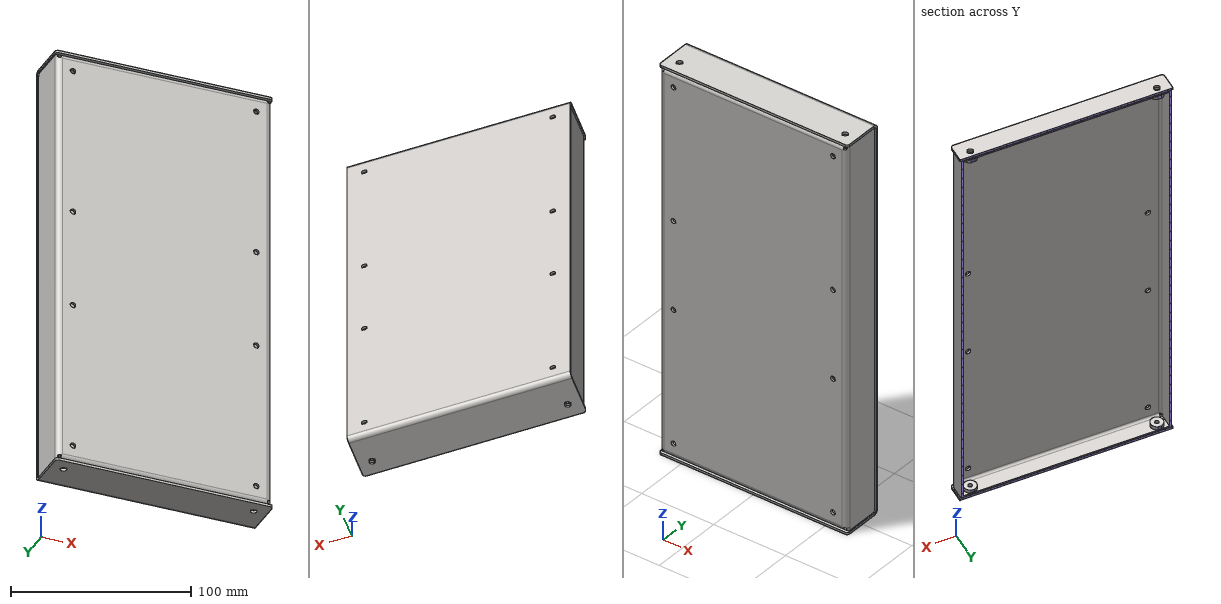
import cadquery as cq

WIDTH = 131.5
DEPTH = 27.3
HEIGHT = 263.0

SHEET = 1.5
INNER_BEND_RADIUS = 1.53
BEND_RADIUS = INNER_BEND_RADIUS + SHEET
FLANGE_CORNER_RADIUS = 1.8
SIDE_GAP = 0.8
RELIEF_DIAMETER = 1.8
RELIEF_INSET = 1.5

MOUNT_DIAMETER = 3.2
MOUNT_X = 55.5
MOUNT_Z_OUTER = 120.2
MOUNT_Z_INNER = 30.0

SCREW_HOLE_DIAMETER = 3.7
SCREW_X = 57.5
SCREW_FROM_FRONT = 8.5
NUT_DIAMETER = 8.0
NUT_BORE = 2.4
NUT_LENGTH = 2.4

FRONT_Y = -DEPTH / 2
BACK_Y = DEPTH / 2
COVER_INNER_Y = BACK_Y - SHEET
END_WALL_Y = COVER_INNER_Y - INNER_BEND_RADIUS
TRAY_WIDTH = WIDTH - 2 * SIDE_GAP
INNER_WIDTH = TRAY_WIDTH - 2 * SHEET
TRAY_HEIGHT = HEIGHT - 2 * SHEET
SCREW_Y = FRONT_Y + SCREW_FROM_FRONT
NUT_SEAT_Z = TRAY_HEIGHT / 2 - SHEET


def block(width, y_start, y_end, height):
    """Box centred on X and Z that spans y_start to y_end."""
    return cq.Workplane("XY").box(width, y_end - y_start, height).translate((0, (y_start + y_end) / 2, 0))


def mounting_holes():
    """Cutters along Y for the eight mounting holes."""
    points = [
        (x, z)
        for x in (-MOUNT_X, MOUNT_X)
        for z in (-MOUNT_Z_OUTER, -MOUNT_Z_INNER, MOUNT_Z_INNER, MOUNT_Z_OUTER)
    ]
    return cq.Workplane("XZ").pushPoints(points).circle(MOUNT_DIAMETER / 2).extrude(DEPTH, both=True)


def screw_holes():
    """Cutters along Z, each passing through both ends of the enclosure."""
    points = [(x, SCREW_Y) for x in (-SCREW_X, SCREW_X)]
    return cq.Workplane("XY").pushPoints(points).circle(SCREW_HOLE_DIAMETER / 2).extrude(HEIGHT, both=True)


def corner_reliefs():
    """Cutters along Y for the round bend reliefs where two bends of the tray meet."""
    spacing_x = TRAY_WIDTH - 2 * RELIEF_INSET
    spacing_z = TRAY_HEIGHT - 2 * RELIEF_INSET
    sketch = cq.Workplane("XZ", origin=(0, FRONT_Y, 0)).rect(spacing_x, spacing_z, forConstruction=True)
    return sketch.vertices().circle(RELIEF_DIAMETER / 2).extrude(-BEND_RADIUS)


def make_tray():
    """Front panel with four bent walls, open towards the cover plate."""
    outer = block(TRAY_WIDTH, FRONT_Y, COVER_INNER_Y, TRAY_HEIGHT)
    outer = outer.faces("<Y").edges().fillet(BEND_RADIUS)
    outer = outer.faces(">Y").edges("|X").fillet(INNER_BEND_RADIUS)
    cavity = block(INNER_WIDTH, FRONT_Y + SHEET, COVER_INNER_Y, TRAY_HEIGHT - 2 * SHEET)
    cavity = cavity.faces("<Y").edges().fillet(INNER_BEND_RADIUS)
    end_wall_trim = block(INNER_WIDTH, END_WALL_Y, COVER_INNER_Y, TRAY_HEIGHT)
    shell = outer.cut(cavity).cut(end_wall_trim)
    return shell.cut(corner_reliefs()).cut(mounting_holes()).cut(screw_holes())


def make_cover():
    """Back plate with a flange bent forward over each end of the tray."""
    outer = block(WIDTH, FRONT_Y, BACK_Y, HEIGHT)
    outer = outer.faces(">Y").edges("|X").fillet(BEND_RADIUS)
    outer = outer.faces("<Y").edges("|Z").fillet(FLANGE_CORNER_RADIUS)
    inside = block(WIDTH, FRONT_Y, COVER_INNER_Y, TRAY_HEIGHT)
    inside = inside.faces(">Y").edges("|X").fillet(INNER_BEND_RADIUS)
    return outer.cut(inside).cut(mounting_holes()).cut(screw_holes())


def make_nut(x, end):
    """Round nut seated inside an end wall; end is +1 at the top and -1 at the bottom."""
    seat = cq.Workplane("XY", origin=(x, SCREW_Y, end * NUT_SEAT_Z))
    return seat.circle(NUT_DIAMETER / 2).circle(NUT_BORE / 2).extrude(-end * NUT_LENGTH)


tray = make_tray()
cover = make_cover()
nuts = [make_nut(x, end) for x in (-SCREW_X, SCREW_X) for end in (-1, 1)]

result = cq.Compound.makeCompound([tray.val(), cover.val(), *[nut.val() for nut in nuts]])